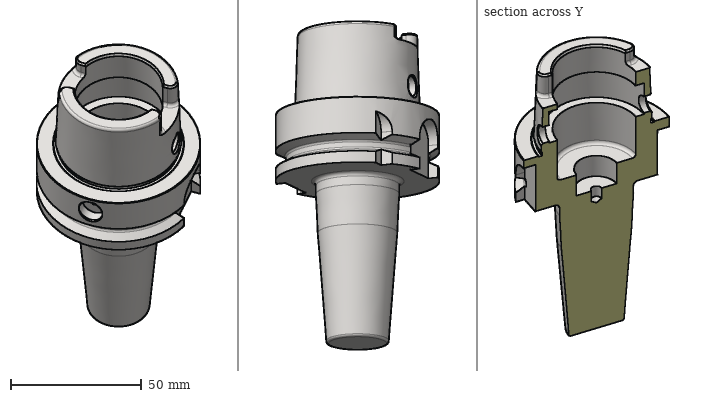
import cadquery as cq
import math

TOTAL_HEIGHT = 121.9
FLANGE_TOP = 90.0
FLANGE_BOTTOM = 64.0
NOSE_KNEE = 43.5
NOSE_COLLAR = 58.9

NOSE_END_RADIUS = 12.1
NOSE_END_ROUND = 1.0
KNEE_RADIUS = 15.4
COLLAR_RADIUS = 16.1
COLLAR_FILLET = 1.7

FLANGE_RADIUS = 31.51
FLANGE_EDGE = 0.2
GROOVE_RADIUS = 27.5
GROOVE_MIDDLE = FLANGE_BOTTOM + 8.0
GROOVE_FLOOR_WIDTH = 3.2
GROOVE_SIDE_ANGLE = math.radians(27)
GROOVE_FILLET = 1.0

SHANK_BASE_RADIUS = 24.1
SHANK_TOP_RADIUS = 23.0
SHANK_TOP_ROUND = 1.1
NECK_RADIUS = 23.6
NECK_HEIGHT = 1.0
NECK_STEP = 0.5
UNDERCUT_RADIUS = 25.2
UNDERCUT_DEPTH = 0.4

BORE_RADIUS = 17.0
BORE_FLOOR = 75.6
RECESS_RADIUS = 20.5
RECESS_TOP = 109.2
RECESS_BOTTOM = 94.7
BORE_FLOOR_FILLET = 1.5
BORE_CHAMFER_WIDTH = 0.6
BORE_CHAMFER_HEIGHT = 1.0
POCKET_RADIUS = 8.7
POCKET_DEPTH = 9.8
COOLANT_RADIUS = 2.2
COOLANT_DEPTH = 4.9
DRILL_HALF_ANGLE = math.radians(59)

SLOT_WIDTH = 12.5
SLOT_FLARE = 3.0
SLOT_FLARE_START = 17.7
SLOT_FLOOR_FILLET = 1.3
SLOT_RIM_CHAMFER = 0.7
DEEP_SLOT = 10.0
SHALLOW_SLOT = 6.0

CROSS_HOLE_RADIUS = 3.8
CROSS_HOLE_Z = 99.1
CROSS_HOLE_CHAMFER = 0.6
SHANK_RADIUS_AT_HOLE = 23.8

KEYWAY_WIDTH = 16.0
WIDE_KEYWAY_WIDTH = 18.0
KEYWAY_FLOOR = 26.5
KEYWAY_ARCH_Z = 77.0
KEYWAY_OVERRUN = 1.2
NOTCH_FLOOR = 19.7
NOTCH_WALL_Y = 19.9

CHIP_RADIUS = 4.8
CHIP_DEPTH = 4.5
CHIP_Z = 83.1
CHIP_CHAMFER = 0.5
CHIP_CENTRE_RADIUS = 0.6
CHIP_CENTRE_DEPTH = 0.6

SEAM_ANGLE = 100
SELECTION_MARGIN = 0.1


def turned_body():
    groove_run = FLANGE_RADIUS - GROOVE_RADIUS
    groove_rise = groove_run * math.tan(GROOVE_SIDE_ANGLE)
    groove_low = GROOVE_MIDDLE - GROOVE_FLOOR_WIDTH / 2
    groove_high = GROOVE_MIDDLE + GROOVE_FLOOR_WIDTH / 2
    profile = (
        cq.Workplane("XZ")
        .moveTo(0, 0)
        .lineTo(NOSE_END_RADIUS - NOSE_END_ROUND, 0)
        .radiusArc((NOSE_END_RADIUS, NOSE_END_ROUND), -NOSE_END_ROUND)
        .lineTo(KNEE_RADIUS, NOSE_KNEE)
        .lineTo(COLLAR_RADIUS, NOSE_COLLAR)
        .lineTo(COLLAR_RADIUS, FLANGE_BOTTOM - COLLAR_FILLET)
        .radiusArc((COLLAR_RADIUS + COLLAR_FILLET, FLANGE_BOTTOM), COLLAR_FILLET)
        .lineTo(FLANGE_RADIUS, FLANGE_BOTTOM)
        .lineTo(FLANGE_RADIUS, groove_low - groove_rise)
        .lineTo(GROOVE_RADIUS, groove_low)
        .lineTo(GROOVE_RADIUS, groove_high)
        .lineTo(FLANGE_RADIUS, groove_high + groove_rise)
        .lineTo(FLANGE_RADIUS, FLANGE_TOP - FLANGE_EDGE)
        .lineTo(FLANGE_RADIUS - FLANGE_EDGE, FLANGE_TOP)
        .lineTo(UNDERCUT_RADIUS, FLANGE_TOP)
        .lineTo(UNDERCUT_RADIUS - UNDERCUT_DEPTH, FLANGE_TOP - UNDERCUT_DEPTH)
        .lineTo(NECK_RADIUS, FLANGE_TOP - UNDERCUT_DEPTH)
        .lineTo(NECK_RADIUS, FLANGE_TOP + NECK_HEIGHT)
        .lineTo(SHANK_BASE_RADIUS, FLANGE_TOP + NECK_HEIGHT + NECK_STEP)
        .lineTo(SHANK_TOP_RADIUS, TOTAL_HEIGHT - SHANK_TOP_ROUND)
        .radiusArc((SHANK_TOP_RADIUS - SHANK_TOP_ROUND, TOTAL_HEIGHT), -SHANK_TOP_ROUND)
        .lineTo(0, TOTAL_HEIGHT)
        .close()
    )
    body = profile.revolve(360, (0, 0, 0), (0, 1, 0))
    reach = GROOVE_RADIUS + SELECTION_MARGIN
    groove_corners = cq.selectors.BoxSelector(
        (-reach, -reach, groove_low - SELECTION_MARGIN),
        (reach, reach, groove_high + SELECTION_MARGIN),
        boundingbox=True,
    )
    return body.edges(groove_corners).edges("%CIRCLE").fillet(GROOVE_FILLET)


def bore():
    """Stepped bore from the shank rim down to the drilled coolant hole."""
    pocket_floor = BORE_FLOOR - POCKET_DEPTH
    coolant_end = pocket_floor - COOLANT_DEPTH
    drill_tip = coolant_end - COOLANT_RADIUS / math.tan(DRILL_HALF_ANGLE)
    profile = (
        cq.Workplane("XZ")
        .moveTo(0, drill_tip)
        .lineTo(COOLANT_RADIUS, coolant_end)
        .lineTo(COOLANT_RADIUS, pocket_floor)
        .lineTo(POCKET_RADIUS, pocket_floor)
        .lineTo(POCKET_RADIUS, BORE_FLOOR)
        .lineTo(BORE_RADIUS - BORE_FLOOR_FILLET, BORE_FLOOR)
        .radiusArc((BORE_RADIUS, BORE_FLOOR + BORE_FLOOR_FILLET), -BORE_FLOOR_FILLET)
        .lineTo(BORE_RADIUS, RECESS_BOTTOM)
        .lineTo(RECESS_RADIUS, RECESS_BOTTOM)
        .lineTo(RECESS_RADIUS, RECESS_TOP)
        .lineTo(BORE_RADIUS, RECESS_TOP)
        .lineTo(BORE_RADIUS, TOTAL_HEIGHT - BORE_CHAMFER_HEIGHT)
        .lineTo(BORE_RADIUS + BORE_CHAMFER_WIDTH, TOTAL_HEIGHT)
        .lineTo(0, TOTAL_HEIGHT)
        .close()
    )
    return profile.revolve(360, (0, 0, 0), (0, 1, 0))


def drive_slot(depth):
    """Slot towards +X: straight walls that flare outwards, rounded floor, chamfered rim."""
    half = SLOT_WIDTH / 2
    inner = BORE_RADIUS / 2
    outer = SHANK_BASE_RADIUS + SLOT_FLARE
    side = half + 3 * SLOT_FLARE
    flare_end = (SLOT_FLARE_START + SLOT_FLARE, half + SLOT_FLARE)
    slot = (
        cq.Workplane("XY", origin=(0, 0, TOTAL_HEIGHT - depth))
        .moveTo(inner, -half)
        .lineTo(SLOT_FLARE_START, -half)
        .radiusArc((flare_end[0], -flare_end[1]), SLOT_FLARE)
        .lineTo(flare_end[0], -side)
        .lineTo(outer, -side)
        .lineTo(outer, side)
        .lineTo(flare_end[0], side)
        .lineTo(*flare_end)
        .radiusArc((SLOT_FLARE_START, half), SLOT_FLARE)
        .lineTo(inner, half)
        .close()
        .extrude(depth - SLOT_RIM_CHAMFER)
        .faces("<Z")
        .edges()
        .fillet(SLOT_FLOOR_FILLET)
    )
    rim = slot.faces(">Z").wires().toPending().extrude(SLOT_RIM_CHAMFER, taper=-45, combine=False)
    return slot.union(rim)


def keyway(width, floor_distance, middle_y):
    """Flat-floored cut towards +X, open at the bottom of the flange and round at its upper end."""
    half = width / 2
    bottom = FLANGE_BOTTOM - KEYWAY_OVERRUN - KEYWAY_ARCH_Z
    outline = (
        cq.Workplane("YZ", origin=(floor_distance, middle_y, KEYWAY_ARCH_Z))
        .moveTo(-half, bottom)
        .lineTo(-half, 0)
        .threePointArc((0, half), (half, 0))
        .lineTo(half, bottom)
        .close()
    )
    return outline.extrude(FLANGE_RADIUS)


def countersunk_hole(radius, chamfer, floor, surface):
    """Hole along +X from floor to surface, widening by the chamfer just below the surface."""
    start = surface - chamfer
    profile = (
        cq.Workplane("XY")
        .moveTo(floor, 0)
        .lineTo(floor, radius)
        .lineTo(start, radius)
        .lineTo(surface + chamfer, radius + 2 * chamfer)
        .lineTo(surface + chamfer, 0)
        .close()
    )
    return profile.revolve(360, (0, 0, 0), (1, 0, 0))


def chip_pocket():
    """Round flat-floored pocket towards +X with a small centre hole in its floor."""
    floor = FLANGE_RADIUS - CHIP_DEPTH
    pocket = countersunk_hole(CHIP_RADIUS, CHIP_CHAMFER, floor, FLANGE_RADIUS)
    centre = cq.Workplane("YZ", origin=(floor - CHIP_CENTRE_DEPTH, 0, 0)).circle(CHIP_CENTRE_RADIUS)
    return pocket.union(centre.extrude(CHIP_DEPTH)).translate((0, 0, CHIP_Z))


def turned(shape, degrees):
    return shape.rotate((0, 0, 0), (0, 0, 1), degrees)


notch_middle_y = -(NOTCH_WALL_Y + KEYWAY_WIDTH / 2)
shank_hole = countersunk_hole(CROSS_HOLE_RADIUS, CROSS_HOLE_CHAMFER, 0, SHANK_RADIUS_AT_HOLE)
shank_hole = shank_hole.translate((0, 0, CROSS_HOLE_Z))

result = turned(turned_body().cut(bore()), SEAM_ANGLE)

for angle in (0, 180):
    result = result.cut(turned(shank_hole, angle))

result = result.cut(keyway(WIDE_KEYWAY_WIDTH, KEYWAY_FLOOR, 0))
result = result.cut(turned(keyway(KEYWAY_WIDTH, KEYWAY_FLOOR, 0), 180))
result = result.cut(turned(keyway(KEYWAY_WIDTH, NOTCH_FLOOR, notch_middle_y), 180))

result = result.cut(drive_slot(DEEP_SLOT))
result = result.cut(turned(drive_slot(SHALLOW_SLOT), 180))

result = result.cut(turned(chip_pocket(), -90))